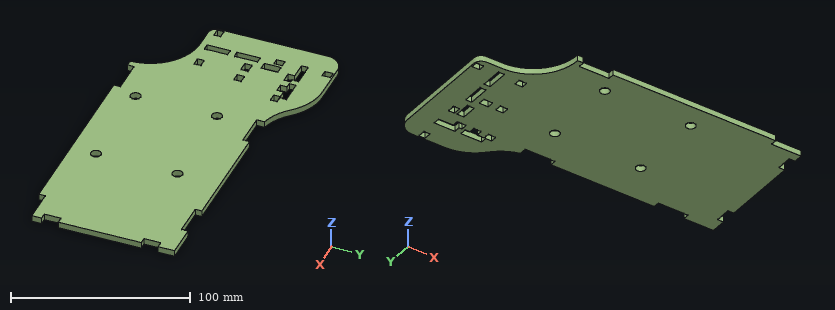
import cadquery as cq
import math

length = 200.0
width = 110.0
thickness = 4.0
body_top = 90.0
notch_depth = 4.0

head_bottom = 30.0
upper_corner_radius = 10.0
lower_corner_radius = 5.0
sweep_radius = 30.0
lower_sweep_x = 16.0
upper_sweep_x = 32.0

notch_length = 20.0
upper_notch_starts = (70.0, 160.0)
lower_notch_start = 50.0
lower_tab_end = 180.0
side_notch_length = 10.0
side_notch_starts = (10.0, 70.0)

hole_diameter = 6.0
hole_start = (75.0, 15.2)
hole_spacing_x = 58.0
hole_spacing_y = 49.0

slot_width = 4.0
slot_length = 14.0
tab_length = 5.0
wide_tab_length = 6.0
connector_row_y = 90.0
horizontal_slot_starts = ((14.0, connector_row_y), (32.0, connector_row_y))
vertical_slot_starts = ((16.0, 34.0), (16.0, 52.0))
vertical_tab_starts = ((14.0, 75.0), (14.0, 104.0))
horizontal_tab_starts = ((1.0, 34.0), (30.0, 34.0))
socket_height = 4.5
socket_y = 60.0
wide_tab_x = 24.0
first_tab_x = 35.2
second_tab_x = 45.0
short_slot_start = (19.8, 70.0)
short_slot_size = (4.5, 10.0)


def box(start, size_x, size_y):
    """Full-thickness block with its lower-left corner at start."""
    return cq.Workplane("XY").box(size_x, size_y, thickness, centered=False).translate((*start, 0))


def plate_outline():
    """Plate without notches; the two upper arcs meet tangentially."""
    diagonal = math.sqrt(0.5)
    convex_center_y = width - sweep_radius
    concave_center_y = body_top + sweep_radius
    center_rise = concave_center_y - convex_center_y
    center_run = math.sqrt((2 * sweep_radius) ** 2 - center_rise**2)
    concave_center_x = upper_sweep_x + center_run
    join = (upper_sweep_x + center_run / 2, convex_center_y + center_rise / 2)
    sweep_end_x = upper_notch_starts[0]
    sweep_end_y = concave_center_y - math.sqrt(sweep_radius**2 - (concave_center_x - sweep_end_x) ** 2)
    return (
        cq.Workplane("XY")
        .moveTo(lower_sweep_x + sweep_radius, 0)
        .lineTo(length, 0)
        .lineTo(length, body_top)
        .lineTo(sweep_end_x, body_top)
        .lineTo(sweep_end_x, sweep_end_y)
        .radiusArc(join, sweep_radius)
        .radiusArc((upper_sweep_x, width), -sweep_radius)
        .lineTo(upper_corner_radius, width)
        .radiusArc((0, width - upper_corner_radius), -upper_corner_radius)
        .lineTo(0, head_bottom + lower_corner_radius)
        .radiusArc((lower_corner_radius, head_bottom), -lower_corner_radius)
        .lineTo(lower_sweep_x, head_bottom)
        .threePointArc(
            (lower_sweep_x + sweep_radius * diagonal, sweep_radius * diagonal),
            (lower_sweep_x + sweep_radius, 0),
        )
        .close()
    )


def cut_edge_notches(plate):
    for x in upper_notch_starts:
        plate = plate.cut(box((x, body_top - notch_depth), notch_length, notch_depth))
    plate = plate.cut(box((lower_notch_start, 0), notch_length, notch_depth))
    plate = plate.cut(box((lower_tab_end, 0), length - lower_tab_end, notch_depth))
    for y in side_notch_starts:
        plate = plate.cut(box((length - notch_depth, y), notch_depth, side_notch_length))
    return plate


def cut_mounting_holes(plate):
    centers = [
        (hole_start[0] + column * hole_spacing_x, hole_start[1] + row * hole_spacing_y)
        for column in range(2)
        for row in range(2)
    ]
    holes = cq.Workplane("XY").pushPoints(centers).circle(hole_diameter / 2).extrude(thickness)
    return plate.cut(holes)


def cut_head_openings(plate):
    for start in horizontal_slot_starts:
        plate = plate.cut(box(start, slot_length, slot_width))
    for start in vertical_slot_starts:
        plate = plate.cut(box(start, slot_width, slot_length))
    for start in vertical_tab_starts:
        plate = plate.cut(box(start, slot_width, tab_length))
    for start in horizontal_tab_starts:
        plate = plate.cut(box(start, tab_length, slot_width))
    plate = plate.cut(box(short_slot_start, *short_slot_size))

    plate = plate.cut(box((wide_tab_x, socket_y), wide_tab_length, socket_height))
    plate = plate.cut(box((first_tab_x, socket_y), tab_length, socket_height))
    joined_y = connector_row_y - slot_width
    plate = plate.cut(box((wide_tab_x, joined_y), wide_tab_length, slot_width))
    for x in (first_tab_x, second_tab_x):
        plate = plate.cut(box((x, joined_y), tab_length, slot_width))
    return plate


result = plate_outline().extrude(thickness)
result = cut_edge_notches(result)
result = cut_mounting_holes(result)
result = cut_head_openings(result)